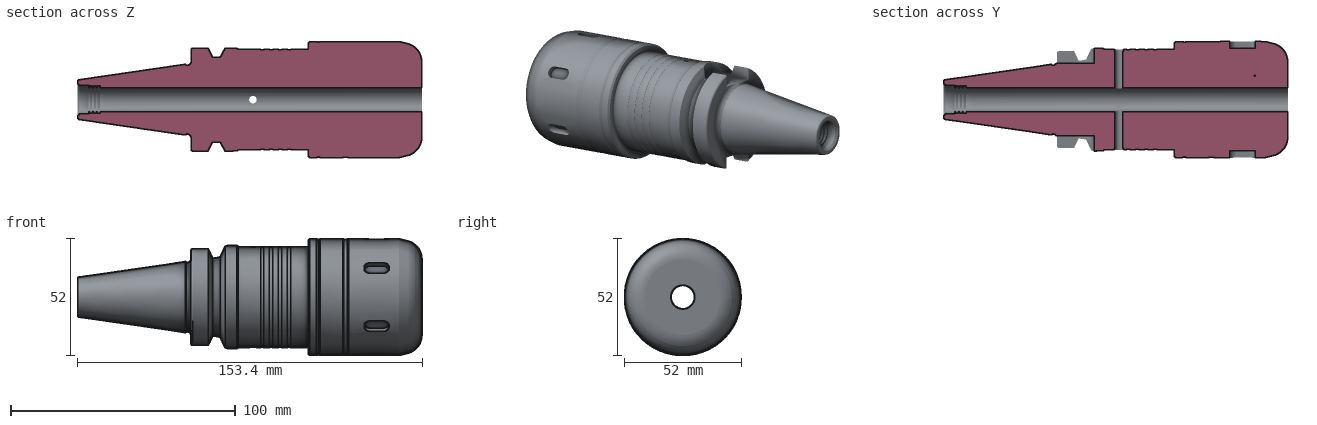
import cadquery as cq
import math

LENGTH = 153.4

QUARTER_ARC_SAG = 1 - math.sqrt(0.5)

TAPER_RATIO = 7 / 24
TAPER_TIP_DIA = 18.0
TAPER_END_X = 48.0
TIP_ROUND = 0.8
NECK_DIA = 30.8
NECK_START_X = 48.5
NECK_FILLET = 1.7

FLANGE_DIA = 46.0
FLANGE_FRONT_X = 50.5
FLANGE_EDGE_ROUND = 0.9
V_GROOVE_DIA = 38.2
V_GROOVE_START_X = 58.1
V_GROOVE_FLOOR_START_X = 60.1
V_GROOVE_FLOOR_END_X = 63.5
V_GROOVE_END_X = 65.7
FLANGE_BACK_X = 70.9
FLANGE_BACK_BEVEL = 0.8

KEYWAY_WIDTH = 16.1
KEYWAY_FLOOR_Z = 16.3
KEYWAY_END_X = 67.0

BODY_DIA = 45.0
BODY_RING_DIA = 44.6
BODY_RING_COUNT = 4
BODY_RING_FIRST_X = 81.5
BODY_RING_WIDTH = 1.5
BODY_RING_PITCH = 4.0
OIL_HOLE_X = 78.1
OIL_HOLE_DIA = 3.4
OIL_HOLE_MOUTH_DIA = 4.0
OIL_HOLE_MOUTH_DEPTH = 0.8

NUT_DIA = 52.0
NUT_START_X = 102.6
NUT_BACK_BEVEL = 0.8
SEAM_GROOVE_X = 107.2
SEAM_GROOVE_WIDTH = 1.8
SEAM_GROOVE_FLOOR = 0.3
SEAM_GROOVE_DEPTH = 0.3
NUT_GROOVE_X = 119.3
NUT_GROOVE_WIDTH = 2.6
NUT_GROOVE_FLOOR = 1.7
NUT_GROOVE_DEPTH = 0.2
NOSE_START_X = 143.1
NOSE_SHOULDER_X = 147.4
NOSE_SHOULDER_DIA = 49.9
NOSE_BEVEL_START_X = 150.2
NOSE_BEVEL_START_DIA = 46.8
NOSE_BEVEL_END_X = 151.7
NOSE_BEVEL_END_DIA = 43.7
NOSE_FACE_DIA = 33.7
NOSE_SHOULDER_BULGE = 0.2
NOSE_FACE_BULGE = 0.38

SPANNER_SLOT_COUNT = 6
SPANNER_SLOT_X = 133.2
SPANNER_SLOT_LENGTH = 11.2
SPANNER_SLOT_WIDTH = 5.4
SPANNER_SLOT_DEPTH = 3.0

BORE_DIA = 10.5
THREAD_DIA = 12.0
THREAD_START_X = 4.8
THREAD_RING_WIDTH = 0.9
THREAD_PITCH = 1.7
THREAD_RING_COUNT = 3
BORE_ENTRY_DIA = 12.5
BORE_MOUTH_DIA = 14.3
BORE_MOUTH_DEPTH = 0.9


def turned_body():
    """Full outer profile of the holder, revolved about the X axis."""
    tip_radius = TAPER_TIP_DIA / 2
    taper_end_radius = tip_radius + (TAPER_END_X - TIP_ROUND) * TAPER_RATIO / 2
    neck_radius = NECK_DIA / 2
    flange_radius = FLANGE_DIA / 2
    nut_radius = NUT_DIA / 2
    profile = (
        cq.Workplane("XY")
        .lineTo(0, tip_radius - TIP_ROUND)
        .sagittaArc((TIP_ROUND, tip_radius), TIP_ROUND * QUARTER_ARC_SAG)
        .lineTo(TAPER_END_X, taper_end_radius)
        .lineTo(NECK_START_X, neck_radius)
        .lineTo(FLANGE_FRONT_X - NECK_FILLET, neck_radius)
        .sagittaArc((FLANGE_FRONT_X, neck_radius + NECK_FILLET), -NECK_FILLET * QUARTER_ARC_SAG)
        .lineTo(FLANGE_FRONT_X, flange_radius - FLANGE_EDGE_ROUND)
        .sagittaArc(
            (FLANGE_FRONT_X + FLANGE_EDGE_ROUND, flange_radius), FLANGE_EDGE_ROUND * QUARTER_ARC_SAG
        )
        .lineTo(V_GROOVE_START_X, flange_radius)
        .lineTo(V_GROOVE_FLOOR_START_X, V_GROOVE_DIA / 2)
        .lineTo(V_GROOVE_FLOOR_END_X, V_GROOVE_DIA / 2)
        .lineTo(V_GROOVE_END_X, flange_radius)
        .lineTo(FLANGE_BACK_X, flange_radius)
        .lineTo(FLANGE_BACK_X + FLANGE_BACK_BEVEL, BODY_DIA / 2)
        .lineTo(NUT_START_X, BODY_DIA / 2)
        .lineTo(NUT_START_X, nut_radius - NUT_BACK_BEVEL)
        .lineTo(NUT_START_X + NUT_BACK_BEVEL, nut_radius)
        .lineTo(NOSE_START_X, nut_radius)
        .lineTo(NOSE_SHOULDER_X, NOSE_SHOULDER_DIA / 2)
        .sagittaArc((NOSE_BEVEL_START_X, NOSE_BEVEL_START_DIA / 2), NOSE_SHOULDER_BULGE)
        .lineTo(NOSE_BEVEL_END_X, NOSE_BEVEL_END_DIA / 2)
        .sagittaArc((LENGTH, NOSE_FACE_DIA / 2), NOSE_FACE_BULGE)
        .lineTo(LENGTH, 0)
        .close()
    )
    return profile.revolve(360, (0, 0, 0), (1, 0, 0))


def ring_groove(center_x, outer_dia, mouth_width, floor_width, depth):
    """Ring of material to remove: a groove with sloping or upright walls in a cylinder."""
    outer_radius = outer_dia / 2
    overcut = 0.8
    section = (
        cq.Workplane("XY")
        .moveTo(center_x - mouth_width / 2, outer_radius + overcut)
        .lineTo(center_x - mouth_width / 2, outer_radius)
        .lineTo(center_x - floor_width / 2, outer_radius - depth)
        .lineTo(center_x + floor_width / 2, outer_radius - depth)
        .lineTo(center_x + mouth_width / 2, outer_radius)
        .lineTo(center_x + mouth_width / 2, outer_radius + overcut)
        .close()
    )
    return section.revolve(360, (0, 0, 0), (1, 0, 0))


def bore():
    """Central through bore with a bevelled, plain entry and ring grooves standing for its thread."""
    mouth_radius = BORE_MOUTH_DIA / 2
    entry_radius = BORE_ENTRY_DIA / 2
    section = (
        cq.Workplane("XY")
        .lineTo(0, mouth_radius)
        .lineTo(BORE_MOUTH_DEPTH, entry_radius)
        .lineTo(THREAD_START_X, entry_radius)
        .lineTo(THREAD_START_X, BORE_DIA / 2)
        .lineTo(LENGTH, BORE_DIA / 2)
        .lineTo(LENGTH, 0)
        .close()
    )
    cutter = section.revolve(360, (0, 0, 0), (1, 0, 0))
    for index in range(THREAD_RING_COUNT):
        ring_x = THREAD_START_X + THREAD_PITCH * (index + 0.5)
        ring = cq.Workplane("YZ", origin=(ring_x, 0, 0)).circle(THREAD_DIA / 2).extrude(THREAD_RING_WIDTH)
        cutter = cutter.union(ring)
    return cutter


def keyway():
    """Flat-bottomed keyway above the shank, open at the flange's front and round at its far end."""
    end_radius = KEYWAY_WIDTH / 2
    end_center_x = KEYWAY_END_X - end_radius
    height = FLANGE_DIA / 2
    return (
        cq.Workplane("XY", origin=(0, 0, KEYWAY_FLOOR_Z))
        .moveTo(TAPER_END_X, -end_radius)
        .lineTo(end_center_x, -end_radius)
        .threePointArc((KEYWAY_END_X, 0), (end_center_x, end_radius))
        .lineTo(TAPER_END_X, end_radius)
        .close()
        .extrude(height)
    )


def spanner_slot():
    """Flat-bottomed slot with round ends in the top of the nut."""
    return (
        cq.Workplane("XY", origin=(SPANNER_SLOT_X, 0, NUT_DIA / 2 - SPANNER_SLOT_DEPTH))
        .slot2D(SPANNER_SLOT_LENGTH, SPANNER_SLOT_WIDTH)
        .extrude(NUT_DIA / 2)
    )


def oil_hole():
    """Cutter for the hole across the body, with a wider mouth at both ends."""
    mouth_start = BODY_DIA / 2 - OIL_HOLE_MOUTH_DEPTH
    middle = cq.Workplane("XY", origin=(OIL_HOLE_X, 0, 0))
    hole = middle.circle(OIL_HOLE_DIA / 2).extrude(BODY_DIA / 2, both=True)
    mouth = middle.workplane(offset=mouth_start).circle(OIL_HOLE_MOUTH_DIA / 2).extrude(BODY_DIA / 2)
    return hole.union(mouth).union(mouth.mirror("XY"))


def around_axis(shape, angle):
    """Copy of a shape turned about the X axis by an angle in degrees."""
    return shape.rotate((0, 0, 0), (1, 0, 0), angle)


result = turned_body()

for index in range(BODY_RING_COUNT):
    ring_center_x = BODY_RING_FIRST_X + BODY_RING_WIDTH / 2 + index * BODY_RING_PITCH
    ring_depth = (BODY_DIA - BODY_RING_DIA) / 2
    result = result.cut(ring_groove(ring_center_x, BODY_DIA, BODY_RING_WIDTH, BODY_RING_WIDTH, ring_depth))

result = result.cut(
    ring_groove(SEAM_GROOVE_X, NUT_DIA, SEAM_GROOVE_WIDTH, SEAM_GROOVE_FLOOR, SEAM_GROOVE_DEPTH)
)
result = result.cut(
    ring_groove(NUT_GROOVE_X, NUT_DIA, NUT_GROOVE_WIDTH, NUT_GROOVE_FLOOR, NUT_GROOVE_DEPTH)
)

for angle in (0, 180):
    result = result.cut(around_axis(keyway(), angle))

for index in range(SPANNER_SLOT_COUNT):
    result = result.cut(around_axis(spanner_slot(), index * 360 / SPANNER_SLOT_COUNT))

result = result.cut(oil_hole()).cut(bore())